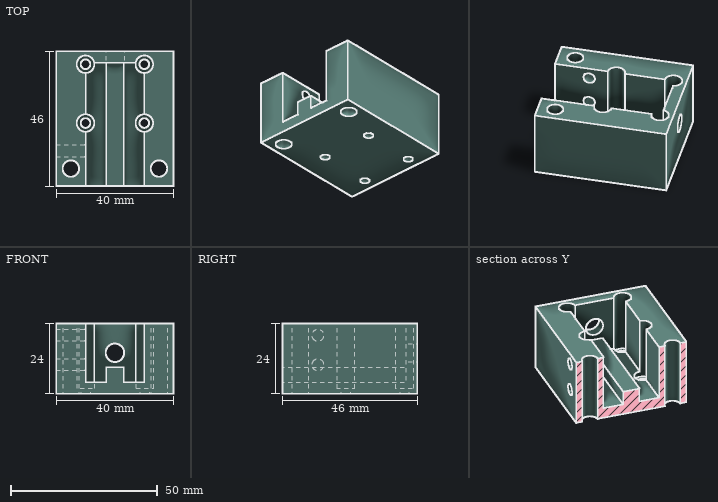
import cadquery as cq

width = 40.0
length = 46.0
height = 24.0

channel_width = width / 2
floor_thickness = 4.0
back_wall = 4.0

rib_width = 6.0
rib_height = 5.0

mount_diameter = 3.2
counterbore_diameter = 6.0
counterbore_floor = 2.0
mount_spacing = 20.0
rear_mount_y = length - 4.5

post_diameter = 5.5
post_x = 15.0
post_y = 6.0

back_hole_diameter = 6.2
back_hole_z = 14.0

side_hole_diameter = 4.0
side_hole_y = 12.0
side_hole_heights = (10.0, 20.0)


def box(size_x, size_y, size_z, y, z):
    """Box centred on X = 0, starting at the given Y and Z."""
    return cq.Workplane("XY").box(size_x, size_y, size_z, centered=(True, False, False)).translate((0, y, z))


def cylinder(diameter, depth, start, direction):
    """Cylinder running from a start point along a direction."""
    return cq.Workplane(cq.Solid.makeCylinder(diameter / 2, depth, cq.Vector(*start), cq.Vector(*direction)))


channel_length = length - back_wall
result = box(width, length, height, 0, 0)
result = result.cut(box(channel_width, channel_length, height - floor_thickness, 0, floor_thickness))
result = result.union(box(rib_width, channel_length, rib_height, 0, floor_thickness))

for side in (-1, 1):
    mount_x = side * mount_spacing / 2
    for mount_y in (rear_mount_y, rear_mount_y - mount_spacing):
        result = result.cut(cylinder(mount_diameter, height, (mount_x, mount_y, 0), (0, 0, 1)))
        counterbore_start = (mount_x, mount_y, counterbore_floor)
        result = result.cut(cylinder(counterbore_diameter, height, counterbore_start, (0, 0, 1)))
    result = result.cut(cylinder(post_diameter, height, (side * post_x, post_y, 0), (0, 0, 1)))

result = result.cut(cylinder(back_hole_diameter, back_wall, (0, channel_length, back_hole_z), (0, 1, 0)))

side_wall = (width - channel_width) / 2
for hole_z in side_hole_heights:
    result = result.cut(cylinder(side_hole_diameter, side_wall, (-width / 2, side_hole_y, hole_z), (1, 0, 0)))